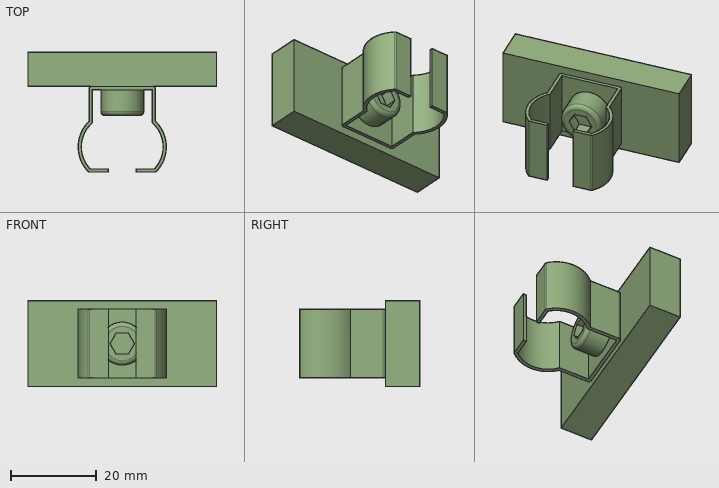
import cadquery as cq
import math

plate_length = 44.0
plate_depth = 8.0
plate_height = 20.0

clip_height = 16.0
clip_reach = 19.98
sheet = 0.8
channel_half_width = 7.75
jaw_inner_radius = 7.5
jaw_center_x = 2.02
jaw_center_y = -14.1
mouth_width = 6.45
bend_radius = 0.55

head_radius = 5.0
head_height = 6.05
head_rounding = 1.0
socket_across_flats = 4.95
socket_depth = 3.0


def make_plate():
    """Plain rectangular backing plate."""
    plate = cq.Workplane("XY").box(plate_length, plate_depth, plate_height)
    return plate.translate((0, plate_depth / 2, 0))


def clip_contour(offset):
    """Closed clip contour, offset inward from the outside surface."""
    wall_x = channel_half_width - offset
    back_y = -offset
    front_y = offset - clip_reach
    radius = jaw_inner_radius + sheet - offset
    bulge_x = jaw_center_x + radius
    neck_y = jaw_center_y + math.sqrt(radius**2 - (wall_x - jaw_center_x)**2)
    lip_x = jaw_center_x + math.sqrt(radius**2 - (front_y - jaw_center_y)**2)
    return (
        cq.Workplane("XY")
        .workplane(offset=-clip_height / 2)
        .moveTo(-wall_x, back_y)
        .lineTo(wall_x, back_y)
        .lineTo(wall_x, neck_y)
        .threePointArc((bulge_x, jaw_center_y), (lip_x, front_y))
        .lineTo(-lip_x, front_y)
        .threePointArc((-bulge_x, jaw_center_y), (-wall_x, neck_y))
        .close()
    )


def make_clip():
    """Sheet clip with straight walls, two curved jaws and inturned lips."""
    outside = clip_contour(0).extrude(clip_height)
    outside = outside.faces("<Y or >Y").edges("|Z").fillet(bend_radius)
    inside = clip_contour(sheet).extrude(clip_height)
    mouth = cq.Workplane("XY").box(mouth_width, 4 * sheet, clip_height)
    mouth = mouth.translate((0, -clip_reach, 0))
    return outside.cut(inside).cut(mouth)


def make_screw_head():
    """Round head seated on the clip's back wall, with a hexagon socket."""
    seat = cq.Workplane("XZ", origin=(0, -sheet, 0))
    head = seat.circle(head_radius).extrude(head_height)
    head = head.faces("<Y").edges().fillet(head_rounding)
    across_corners = socket_across_flats / math.cos(math.pi / 6)
    socket = (
        seat.workplane(offset=head_height - socket_depth)
        .polygon(6, across_corners)
        .extrude(socket_depth)
    )
    return head.cut(socket)


plate = make_plate()
clip = make_clip()
screw_head = make_screw_head()

result = cq.Compound.makeCompound([plate.val(), clip.val(), screw_head.val()])